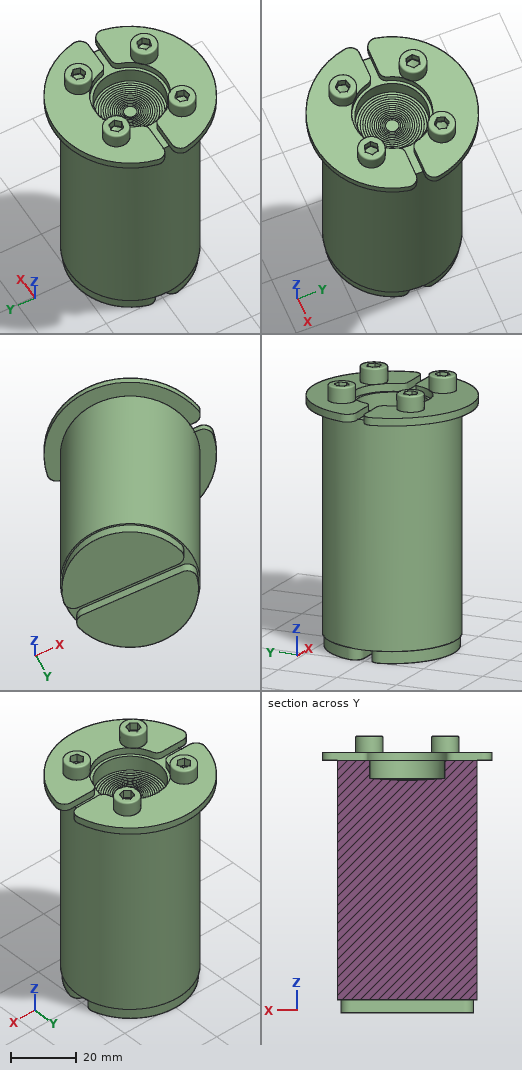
import cadquery as cq
import math

total_height = 85.0
foot_height = 4.0
body_height = 73.5
flange_thickness = 2.5
body_top = foot_height + body_height
flange_top = body_top + flange_thickness
head_height = total_height - flange_top

body_radius = 21.5
foot_radius = 21.0
flange_radius = 26.5
slot_width = 3.0
corner_radius = 3.1

opening_radius = 12.5
opening_corner_radius = 2.5

well_radius = 11.5
well_depth = 5.5
well_floor_radius = 2.08
step_count = 14
step_drop = 0.04
outer_to_inner_tread = 1.6

screw_circle_radius = 16.5
screw_offset = screw_circle_radius * math.sqrt(0.5)
head_radius = 4.25
head_edge_radius = 0.5
socket_across_flats = 4.0
socket_corner_radius = socket_across_flats / math.sqrt(3)
socket_depth = 3.0
socket_tip_half_angle = 60
socket_tip_depth = socket_corner_radius / math.tan(math.radians(socket_tip_half_angle))


def slotted_disc(radius, thickness):
    """Disc parted along X by the slot, with its four outer corners rounded."""
    disc = cq.Workplane("XY").circle(radius).extrude(thickness)
    slot = cq.Workplane("XY").rect(2 * radius, slot_width).extrude(thickness)
    return disc.cut(slot).edges("|Z").fillet(corner_radius)


def make_flange():
    """Slotted disc with a central opening whose corners at the slot are rounded."""
    opening = cq.Workplane("XY").circle(opening_radius).extrude(flange_thickness)
    near_opening = cq.selectors.BoxSelector(
        (-opening_radius, -slot_width, 0),
        (opening_radius, slot_width, flange_thickness),
    )
    flange = slotted_disc(flange_radius, flange_thickness).cut(opening)
    flange = flange.edges("|Z").edges(near_opening).fillet(opening_corner_radius)
    return flange.translate((0, 0, body_top))


def tread_widths():
    """Tread widths from the wall inward, narrowing evenly to fill the well radius."""
    weights = []
    for i in range(step_count):
        inward = i / (step_count - 1)
        weights.append(outer_to_inner_tread + (1 - outer_to_inner_tread) * inward)
    scale = (well_radius - well_floor_radius) / sum(weights)
    return [scale * weight for weight in weights]


def make_well():
    """Round well whose floor steps down ring by ring to a small flat centre."""
    radius = well_radius
    height = body_top - well_depth
    profile = cq.Workplane("XZ").moveTo(0, body_top).lineTo(radius, body_top)
    profile = profile.lineTo(radius, height)
    for width in tread_widths():
        radius -= width
        profile = profile.lineTo(radius, height)
        height -= step_drop
        profile = profile.lineTo(radius, height)
    return profile.lineTo(0, height).close().revolve(360, (0, 0, 0), (0, 1, 0))


def make_screw(x_sign, y_sign):
    """Screw head with a rounded rim and a hex socket ending in a cone.

    Two socket corners lie square to the line from the part axis to the screw.
    """
    head = cq.Workplane("XY").circle(head_radius).extrude(head_height)
    head = head.faces(">Z").edges().fillet(head_edge_radius)
    hexagon = cq.Workplane("XY").polygon(6, 2 * socket_corner_radius).extrude(socket_depth)
    cone = cq.Solid.makeCone(socket_corner_radius, 0, socket_tip_depth, dir=cq.Vector(0, 0, -1))
    corner_angle = math.degrees(math.atan2(y_sign, x_sign)) + 90
    hexagon = hexagon.rotate((0, 0, 0), (0, 0, 1), corner_angle)
    socket = hexagon.union(cq.Workplane(cone)).translate((0, 0, head_height - socket_depth))
    place = (x_sign * screw_offset, y_sign * screw_offset, flange_top)
    return head.cut(socket).translate(place)


body = cq.Workplane("XY").workplane(offset=foot_height).circle(body_radius).extrude(body_height)
result = body.cut(make_well())
result = result.union(slotted_disc(foot_radius, foot_height))
result = result.union(make_flange())
for x_sign in (-1, 1):
    for y_sign in (-1, 1):
        result = result.union(make_screw(x_sign, y_sign))